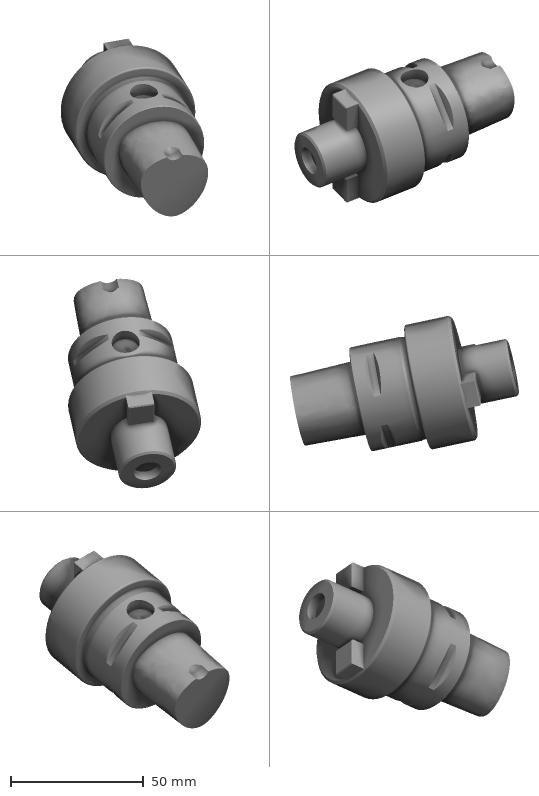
import cadquery as cq
import math

length = 83.0
flange_start = 18.75
flange_end = 36.8
groove_start = 37.6
groove_end = 38.5
body_start = 39.5
body_end = 58.8

arbor_diameter = 22.0
flange_diameter = 48.0
groove_diameter = 39.4
body_diameter = 40.0

arbor_chamfer = 0.75
flange_front_chamfer = 1.0
flange_back_round = 0.75
body_chamfer = 0.3

bore_diameter = 10.5
bore_depth = 4.0

key_width = 10.0
key_inner_radius = 11.9
key_outer_radius = 23.0
key_height = 5.4
key_chamfer = 0.4

slot_center = 51.0
slot_floor_radius = 17.7
slot_floor_width = 2.5
slot_mouth_width = 5.2
slot_angles = (45, 135, 225, 315)

pocket_center = 46.9
pocket_diameter = 10.5
pocket_floor_diameter = 10.0
pocket_depth = 5.3
dimple_diameter = 4.0
dimple_depth = 1.2

shank_large_radius = 14.1
shank_small_radius = 13.4
lobe_height = 0.8
outline_points = 48

notch_diameter = 7.1
notch_axis_radius = 14.1
notch_length = 4.2
notch_tip_length = 3.4


def make_turned_body():
    """Arbor, flange, neck groove and body as one turned profile."""
    arbor_r = arbor_diameter / 2
    flange_r = flange_diameter / 2
    groove_r = groove_diameter / 2
    body_r = body_diameter / 2
    neck_round = groove_start - flange_end
    return (
        cq.Workplane("XY")
        .moveTo(0, 0)
        .lineTo(0, arbor_r - arbor_chamfer)
        .lineTo(arbor_chamfer, arbor_r)
        .lineTo(flange_start, arbor_r)
        .lineTo(flange_start, flange_r - flange_front_chamfer)
        .lineTo(flange_start + flange_front_chamfer, flange_r)
        .lineTo(flange_end - flange_back_round, flange_r)
        .radiusArc((flange_end, flange_r - flange_back_round), flange_back_round)
        .lineTo(flange_end, groove_r + neck_round)
        .radiusArc((groove_start, groove_r), -neck_round)
        .lineTo(groove_end, groove_r)
        .lineTo(body_start, body_r)
        .lineTo(body_end - body_chamfer, body_r)
        .lineTo(body_end, body_r - body_chamfer)
        .lineTo(body_end, 0)
        .close()
        .revolve(360, (0, 0, 0), (1, 0, 0))
    )


def lobed_outline(mean_radius):
    """Points of a three-lobed curve in Y, Z with one lobe toward -Z."""
    points = []
    for i in range(outline_points):
        angle = 2 * math.pi * i / outline_points
        reach = mean_radius + lobe_height * math.cos(3 * angle)
        slope = -3 * lobe_height * math.sin(3 * angle)
        toward_lobe = reach * math.cos(angle) - slope * math.sin(angle)
        sideways = reach * math.sin(angle) + slope * math.cos(angle)
        points.append((sideways, -toward_lobe))
    return points


def make_shank():
    return (
        cq.Workplane("YZ", origin=(body_end, 0, 0))
        .spline(lobed_outline(shank_large_radius), periodic=True)
        .close()
        .workplane(offset=length - body_end)
        .spline(lobed_outline(shank_small_radius), periodic=True)
        .close()
        .loft(ruled=True)
    )


def make_key(side):
    """Driving key on the +Z (side = 1) or -Z (side = -1) half of the flange."""
    key_radial_length = key_outer_radius - key_inner_radius
    key_center = side * (key_outer_radius + key_inner_radius) / 2
    return (
        cq.Workplane("YZ", origin=(flange_start, 0, key_center))
        .rect(key_width, key_radial_length)
        .extrude(-key_height)
        .faces("<X")
        .chamfer(key_chamfer)
        .faces(">X")
        .wires()
        .toPending()
        .workplane()
        .extrude(flange_front_chamfer)
    )


def make_gripper_slot(angle):
    """Straight slot with sloping walls, cut tangentially across the body."""
    cut_height = body_diameter / 2 - slot_floor_radius
    slope = (slot_mouth_width - slot_floor_width) / 2 / cut_height
    tool_height = 2 * cut_height
    floor_half = slot_floor_width / 2
    top_half = floor_half + slope * tool_height
    return (
        cq.Workplane("XZ", origin=(slot_center, 0, slot_floor_radius))
        .polyline([(-floor_half, 0), (floor_half, 0), (top_half, tool_height), (-top_half, tool_height)])
        .close()
        .extrude(body_diameter / 2, both=True)
        .rotate((0, 0, 0), (1, 0, 0), angle)
    )


def make_pocket():
    """Round pocket with a chamfered floor edge and a conical dimple."""
    top = body_diameter / 2
    floor = top - pocket_depth
    radius = pocket_diameter / 2
    floor_radius = pocket_floor_diameter / 2
    return (
        cq.Workplane("XZ", origin=(pocket_center, 0, 0))
        .moveTo(0, floor - dimple_depth)
        .lineTo(dimple_diameter / 2, floor)
        .lineTo(floor_radius, floor)
        .lineTo(radius, floor + radius - floor_radius)
        .lineTo(radius, top)
        .lineTo(0, top)
        .close()
        .revolve(360, (0, 0, 0), (0, 1, 0))
    )


def make_notch():
    """Drill-shaped cut along X that opens at the shank end and top."""
    radius = notch_diameter / 2
    notch_start = length - notch_length
    return (
        cq.Workplane("XZ", origin=(0, 0, notch_axis_radius))
        .moveTo(notch_start - notch_tip_length, 0)
        .lineTo(notch_start, radius)
        .lineTo(length, radius)
        .lineTo(length, 0)
        .close()
        .revolve(360, (0, 0, 0), (1, 0, 0))
    )


result = make_turned_body().union(make_shank())
for side in (1, -1):
    result = result.union(make_key(side))

bore = cq.Workplane("YZ").circle(bore_diameter / 2).extrude(bore_depth)
result = result.cut(bore)
for angle in slot_angles:
    result = result.cut(make_gripper_slot(angle))
result = result.cut(make_pocket()).cut(make_notch())